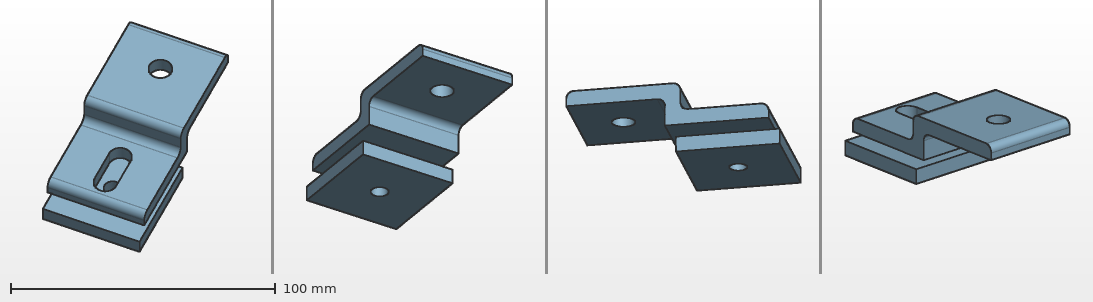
import cadquery as cq

width = 40.0
thickness = 6.0
total_length = 82.25
total_height = 28.0

plate_length = width
plate_hole_diameter = 6.8
plate_hole_y = plate_length / 2

bracket_height = 17.0
bracket_front_y = 4.3
foot_length = 40.0
corner_radius = 3.0
hole_diameter = 9.0
hole_end_distance = 18.0
slot_length = 22.6

bracket_bottom_z = total_height - bracket_height
foot_top_z = bracket_bottom_z + thickness
shelf_bottom_z = total_height - thickness
web_back_y = bracket_front_y + foot_length
web_front_y = web_back_y - thickness


def make_plate():
    """Flat square plate with one round hole through its centre."""
    plate = cq.Workplane("XY").box(width, plate_length, thickness, centered=(True, False, False))
    hole = (
        cq.Workplane("XY")
        .center(0, plate_hole_y)
        .circle(plate_hole_diameter / 2)
        .extrude(thickness)
    )
    return plate.cut(hole)


def make_bracket_profile():
    """Z-shaped bar with sharp corners: foot, upright web and upper shelf."""
    return (
        cq.Workplane("YZ")
        .moveTo(bracket_front_y, bracket_bottom_z)
        .lineTo(web_back_y, bracket_bottom_z)
        .lineTo(web_back_y, shelf_bottom_z)
        .lineTo(total_length, shelf_bottom_z)
        .lineTo(total_length, total_height)
        .lineTo(web_front_y, total_height)
        .lineTo(web_front_y, foot_top_z)
        .lineTo(bracket_front_y, foot_top_z)
        .close()
        .extrude(width / 2, both=True)
    )


def round_bracket_corners(bracket):
    """Round the upper outer edges and both inside corners of the step."""
    rounded_corners = [
        (bracket_front_y, foot_top_z),
        (web_front_y, foot_top_z),
        (web_front_y, total_height),
        (web_back_y, shelf_bottom_z),
        (total_length, total_height),
    ]
    for y, z in rounded_corners:
        edge = cq.selectors.NearestToPointSelector((0, y, z))
        bracket = bracket.edges("|X").edges(edge).fillet(corner_radius)
    return bracket


def make_bracket():
    """Stepped bracket with a slot in the foot and a round hole in the shelf."""
    bracket = round_bracket_corners(make_bracket_profile())
    slot = (
        cq.Workplane("XY", origin=(0, plate_hole_y, bracket_bottom_z))
        .slot2D(slot_length, hole_diameter, 90)
        .extrude(thickness)
    )
    hole = (
        cq.Workplane("XY", origin=(0, total_length - hole_end_distance, shelf_bottom_z))
        .circle(hole_diameter / 2)
        .extrude(thickness)
    )
    return bracket.cut(slot).cut(hole)


plate = make_plate()
bracket = make_bracket()
result = cq.Compound.makeCompound([plate.val(), bracket.val()])